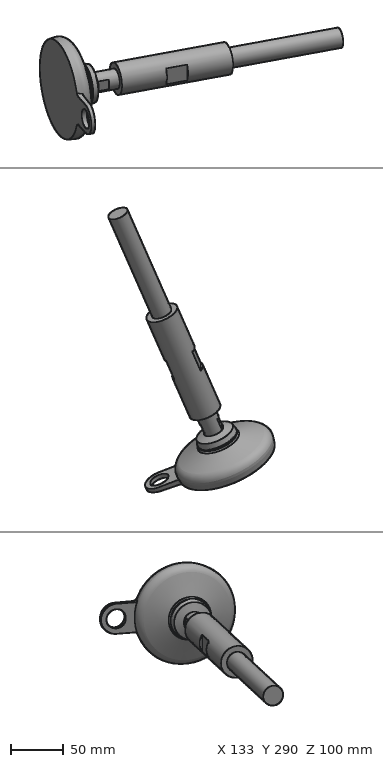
import cadquery as cq
import math

total_length = 290.0

rim_radius = 100.0 / 2
rim_height = 6.5
sole_radius = 49.0
shoulder_start_height = 9.0
shoulder_mid_radius = 48.5
shoulder_mid_height = 12.5
shoulder_end_radius = 44.0
shoulder_end_height = 16.0
cone_top_radius = 21.5
cone_top_height = 23.8

joint_radius = 20.0
neck_radius = 19.0
joint_height = 25.5

lug_reach = 133.0 - rim_radius
lug_end_radius = 15.0
lug_hole_diameter = 19.0
lug_root_height = 5.5
lug_tip_height = 4.0
lug_root_fillet = 5.0
lug_centre_x = lug_reach - lug_end_radius

collar_radius = 20.5
collar_bottom_height = 27.3
collar_top_radius = 18.8
collar_top_height = 33.4
stem_radius = 20.0 / 2
stem_bottom_height = 36.0
sleeve_radius = 32.0 / 2
sleeve_bottom_height = 59.0
sleeve_length = 114.8
sleeve_top_height = sleeve_bottom_height + sleeve_length

stem_flat_width = 17.0
stem_flat_bottom = 37.0
stem_flat_length = 11.0
sleeve_flat_width = 27.0
sleeve_flat_length = 21.8
sleeve_flat_bottom = sleeve_bottom_height + (sleeve_length - sleeve_flat_length) / 2


def revolve_about_y(profile):
    return profile.close().revolve(360, (0, 0, 0), (0, 1, 0))


def make_disc():
    profile = (
        cq.Workplane("XY")
        .lineTo(sole_radius, 0)
        .lineTo(rim_radius, rim_height)
        .lineTo(rim_radius, shoulder_start_height)
        .threePointArc(
            (shoulder_mid_radius, shoulder_mid_height),
            (shoulder_end_radius, shoulder_end_height),
        )
        .lineTo(cone_top_radius, cone_top_height)
        .lineTo(joint_radius, joint_height)
        .lineTo(0, joint_height)
    )
    return revolve_about_y(profile)


def lug_outline():
    """Rounded tab with concave corners that blend it into the sole circle."""
    arc_centre_z = lug_end_radius + lug_root_fillet
    arc_centre_distance = sole_radius + lug_root_fillet
    arc_centre_x = math.sqrt(arc_centre_distance**2 - arc_centre_z**2)
    contact_x = arc_centre_x * sole_radius / arc_centre_distance
    contact_z = arc_centre_z * sole_radius / arc_centre_distance
    mid_angle = (math.atan2(-arc_centre_z, -arc_centre_x) - math.pi / 2) / 2
    mid_x = arc_centre_x + lug_root_fillet * math.cos(mid_angle)
    mid_z = arc_centre_z + lug_root_fillet * math.sin(mid_angle)
    return (
        cq.Workplane("XZ")
        .moveTo(0, -contact_z)
        .lineTo(contact_x, -contact_z)
        .threePointArc((mid_x, -mid_z), (arc_centre_x, -lug_end_radius))
        .lineTo(lug_centre_x, -lug_end_radius)
        .threePointArc((lug_reach, 0), (lug_centre_x, lug_end_radius))
        .lineTo(arc_centre_x, lug_end_radius)
        .threePointArc((mid_x, mid_z), (contact_x, contact_z))
        .lineTo(0, contact_z)
        .close()
    )


def make_lug():
    plate = lug_outline().extrude(-lug_root_height)
    side_wedge = (
        cq.Workplane("XY")
        .polyline([
            (0, 0),
            (lug_reach, 0),
            (lug_reach, lug_tip_height),
            (sole_radius, lug_root_height),
            (0, lug_root_height),
        ])
        .close()
        .extrude(rim_radius, both=True)
    )
    return plate.intersect(side_wedge)


def make_foot():
    lug_hole = (
        cq.Workplane("XZ")
        .center(lug_centre_x, 0)
        .circle(lug_hole_diameter / 2)
        .extrude(-lug_root_height)
    )
    return make_disc().union(make_lug()).cut(lug_hole)


def cut_spanner_flats(body, width, bottom, length):
    """Leave two faces, the given width apart, over a length of the round body."""
    cutter_depth = sleeve_radius
    for side in (-1, 1):
        cutter = cq.Workplane("XY").box(cutter_depth, length, 2 * sleeve_radius).translate(
            (side * (width + cutter_depth) / 2, bottom + length / 2, 0)
        )
        body = body.cut(cutter)
    return body


def make_spindle():
    profile = (
        cq.Workplane("XY")
        .moveTo(0, joint_height)
        .lineTo(neck_radius, joint_height)
        .lineTo(neck_radius, collar_bottom_height)
        .lineTo(collar_radius, collar_bottom_height)
        .lineTo(collar_top_radius, collar_top_height)
        .lineTo(stem_radius, stem_bottom_height)
        .lineTo(stem_radius, sleeve_bottom_height)
        .lineTo(sleeve_radius, sleeve_bottom_height)
        .lineTo(sleeve_radius, sleeve_top_height)
        .lineTo(stem_radius, sleeve_top_height)
        .lineTo(stem_radius, total_length)
        .lineTo(0, total_length)
    )
    spindle = revolve_about_y(profile)
    spindle = cut_spanner_flats(spindle, stem_flat_width, stem_flat_bottom, stem_flat_length)
    return cut_spanner_flats(spindle, sleeve_flat_width, sleeve_flat_bottom, sleeve_flat_length)


foot = make_foot()
spindle = make_spindle()

result = cq.Compound.makeCompound([foot.solids().val(), spindle.solids().val()])